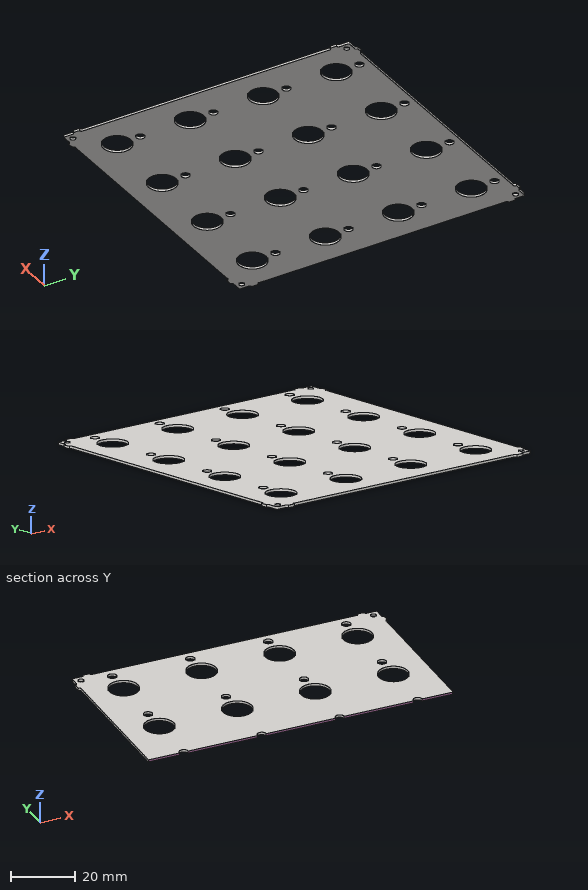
import cadquery as cq
overall_size = 105.6
thickness = 0.91
edge_radius = 0.48

tab_height = 0.7
tab_width = 2.4
tab_spacing = 93.7
body_size = overall_size - 2 * tab_height

grid_count = 4
grid_pitch = 26.6
opening_diameter = 9.8
small_hole_diameter = 2.9
small_hole_rise = 8.5

corner_hole_diameter = 1.8
corner_hole_spacing = 99.8


def make_plate():
    """Square body with two tabs on each edge, rounded where the tabs meet it."""
    plate = cq.Workplane("XY").rect(body_size, body_size).extrude(thickness)

    tab_center = tab_spacing / 2
    for offset in (-tab_center, tab_center):
        bar_along_y = cq.Workplane("XY").center(offset, 0).rect(tab_width, overall_size)
        bar_along_x = cq.Workplane("XY").center(0, offset).rect(overall_size, tab_width)
        plate = plate.union(bar_along_y.extrude(thickness))
        plate = plate.union(bar_along_x.extrude(thickness))

    reach = (body_size + tab_height) / 2
    body_zone = cq.selectors.BoxSelector((-reach, -reach, 0), (reach, reach, thickness))
    return plate.edges("|Z").edges(body_zone).fillet(edge_radius)


def make_cutters(pitch, count, diameter, rise=0):
    """Square grid of cylinders through the plate, shifted by rise along Y."""
    return (
        cq.Workplane("XY")
        .center(0, rise)
        .rarray(pitch, pitch, count, count)
        .circle(diameter / 2)
        .extrude(thickness)
    )


openings = make_cutters(grid_pitch, grid_count, opening_diameter)
small_holes = make_cutters(grid_pitch, grid_count, small_hole_diameter, small_hole_rise)
corner_holes = make_cutters(corner_hole_spacing, 2, corner_hole_diameter)

result = make_plate().cut(openings).cut(small_holes).cut(corner_holes)